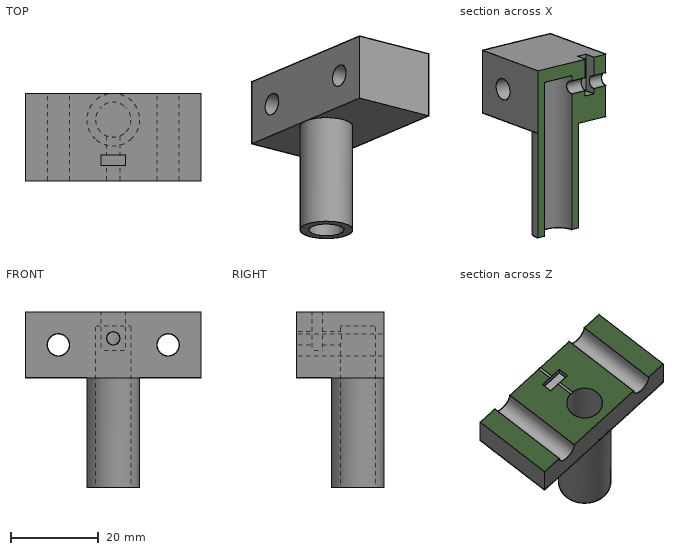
import cadquery as cq

block_width = 40.0
block_depth = 20.0
block_height = 15.0

post_diameter = 12.0
post_length = 25.0
post_y = block_depth - post_diameter / 2
bore_diameter = 8.0

mount_diameter = 5.0
mount_spacing = 25.0

screw_diameter = 3.0
screw_z = block_height - 6.0

nut_width = 5.5
nut_thickness = 2.4
nut_front_y = 3.6
slot_bottom_z = screw_z - nut_width / 2

bore_top_z = screw_z + nut_width / 2


def front_hole(x, z, diameter, depth):
    """Cylinder running from the front face towards +Y."""
    start = cq.Vector(x, 0, z)
    return cq.Workplane(cq.Solid.makeCylinder(diameter / 2, depth, start, cq.Vector(0, 1, 0)))


def upright_cylinder(diameter, bottom_z, top_z):
    """Vertical cylinder on the post axis."""
    return (
        cq.Workplane("XY", origin=(0, post_y, bottom_z))
        .circle(diameter / 2)
        .extrude(top_z - bottom_z)
    )


block = cq.Workplane("XY").box(block_width, block_depth, block_height, centered=(True, False, False))
result = block.union(upright_cylinder(post_diameter, -post_length, block_height / 2))

result = result.cut(upright_cylinder(bore_diameter, -post_length, bore_top_z))

for side in (-1, 1):
    hole_x = side * mount_spacing / 2
    result = result.cut(front_hole(hole_x, block_height / 2, mount_diameter, block_depth))

result = result.cut(front_hole(0, screw_z, screw_diameter, post_y))

nut_slot = (
    cq.Workplane("XY", origin=(0, nut_front_y, slot_bottom_z))
    .box(nut_width, nut_thickness, block_height - slot_bottom_z, centered=(True, False, False))
)
result = result.cut(nut_slot)